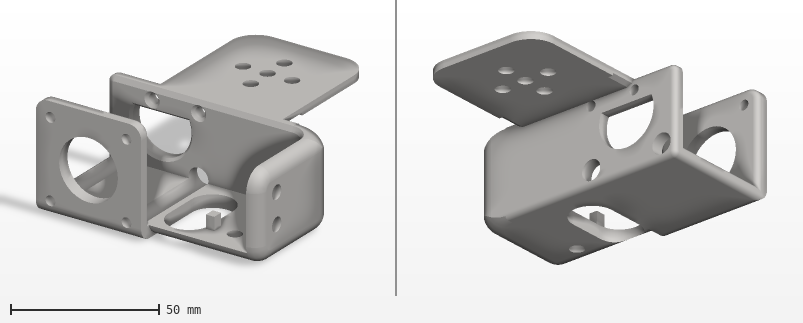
import cadquery as cq
import math

width = 88.0
wall = 5.0
motor_face = 43.0
tray_height = 35.0
tray_back = 48.0
tray_front = 4.1
side_wall = 5.99
corner_radius = 7.0
corner_dome_radius = 15.0
corner_dome_round = 6.9
side_corner_radius = 7.5
outer_round = 4.95
edge_round = 2.0
left_corner_radius = 2.5
foot_corner_radius = 2.0
rim_inset = 1.0
rim_drop = 2.0

motor_center = motor_face / 2
motor_bolt_pitch = 31.0
motor_bolt_diameter = 4.0
motor_bore = 24.0
plate_corner_radius = 4.95
bolt_clearance = 8.0

opening_top = 26.0
opening_bevel = 1.0
small_hole_spacing = 19.0
small_hole_left = 18.0
small_hole_height = 30.1
countersink_bevel = 1.1

tab_width = 50.0
tab_end = 99.0
tab_thickness = 3.02
tab_corner_radius = 10.0
tab_hole_pitch = 10.0
tab_hole_inset = 25.0
screw_hole = 5.5
tab_bevel_length = 10.0
tab_bevel_height = 1.0
tab_bevel_width = 2.0

slot_x = 51.7
slot_y = 22.9
slot_length = 31.0
slot_width = 16.9
screw_line_y = 14.9
floor_hole_x = 71.0
side_hole_heights = (13.0, 24.9)
stop_x = 62.3
stop_size = (3.4, 4.1)
stop_top = 10.3

inner_back = tray_back - wall
inner_right = width - side_wall


def box(x0, x1, y0, y1, z0, z1):
    return cq.Workplane("XY").box(x1 - x0, y1 - y0, z1 - z0, centered=False).translate((x0, y0, z0))


def rod_y(x, z, diameter, y0, y1):
    return cq.Workplane("XZ", origin=(x, y0, z)).circle(diameter / 2).extrude(y0 - y1)


def cone_y(x, z, diameter, y, bevel):
    """Cone narrowing toward +Y from a rim one bevel larger than the hole."""
    return (cq.Workplane("XZ", origin=(x, y, z)).circle(diameter / 2 + bevel)
            .workplane(offset=-bevel).circle(diameter / 2).loft())


def corner_trim():
    """Material outside a domed drum that softens both ends of the outer vertical corner."""
    center_x = inner_right - corner_radius
    center_y = inner_back - corner_radius
    drum = cq.Workplane("XY", origin=(center_x, center_y, 0)).circle(corner_dome_radius).extrude(tray_height)
    drum = drum.edges().fillet(corner_dome_round)
    return box(center_x, width, center_y, tray_back, 0, tray_height).cut(drum)


def tray():
    """Floor, back wall and side wall, with a bevelled inner rim and rounded outer edges."""
    block = box(0, width, tray_front, tray_back, 0, tray_height)
    front_rounded = block.edges("<Y and |X").fillet(side_corner_radius)
    left_rounded = block.edges("<X and >Z and |Y").fillet(left_corner_radius)
    left_rounded = left_rounded.edges("<X and <Z and |Y").fillet(foot_corner_radius)

    cavity = box(-width, inner_right, -width, inner_back, wall, 2 * tray_height)
    cavity = cavity.edges("|Z and >X and >Y").fillet(corner_radius)
    inner_rim = cq.selectors.NearestToPointSelector((inner_right / 2, inner_back, tray_height))
    body = front_rounded.intersect(left_rounded).cut(cavity)
    body = body.edges(inner_rim).chamfer(rim_drop, rim_inset)

    side_rounded = front_rounded.faces(">X").edges("not >Y").fillet(outer_round)
    back_rounded = left_rounded.edges("|Z and >X and >Y").fillet(corner_radius)
    back_rounded = back_rounded.faces(">Y").edges().fillet(edge_round)
    body = body.intersect(side_rounded).intersect(back_rounded).cut(corner_trim())
    floor_left_edge = cq.selectors.NearestToPointSelector((0, tray_back / 2, wall))
    return body.edges(floor_left_edge).fillet(edge_round)


def motor_plate():
    """Square upright plate with a rounded foot and a softened inner edge."""
    plate = box(0, motor_face, 0, wall, 0, motor_face)
    plate = plate.edges("|Y and >Z").fillet(plate_corner_radius)
    plate = plate.edges("|Y and <X and <Z").fillet(foot_corner_radius)
    plate = plate.faces(">Y").edges(">Z").fillet(edge_round)
    heel = box(-width, width, 0, tray_back, 0, width).edges("|X and <Y and <Z").fillet(outer_round)
    pad = box(0, motor_face, wall / 2, tray_front + side_corner_radius, 0, wall)
    pad = pad.edges("|Y and <X and <Z").fillet(foot_corner_radius)
    pad = pad.edges("|Y and <X and >Z").fillet(edge_round)
    return plate.union(pad).intersect(heel)


def mounting_tab():
    """Flat tab running back from the top of the back wall, relieved underneath beside the wall."""
    left = (width - tab_width) / 2
    bottom = tray_height - tab_thickness
    tab = box(left, left + tab_width, inner_back + rim_inset, tab_end, bottom, tray_height)
    tab = tab.edges("|Z and >Y").fillet(tab_corner_radius)
    hole_y = tab_end - tab_hole_inset
    centers = [(width / 2, hole_y)]
    for step in (-tab_hole_pitch, tab_hole_pitch):
        centers += [(width / 2 + step, hole_y), (width / 2, hole_y + step)]
    for x, y in centers:
        tab = tab.cut(cq.Workplane("XY", origin=(x, y, bottom)).circle(screw_hole / 2).extrude(tab_thickness))
    for edge, inward in ((left, 1), (left + tab_width, -1)):
        bevel = (cq.Workplane("XZ", origin=(edge, tray_back, bottom))
                 .polyline([(0, 0), (inward * tab_bevel_width, 0), (0, tab_bevel_height)]).close()
                 .extrude(-tab_bevel_length))
        tab = tab.cut(bevel)
    return tab


def motor_cutters():
    """Bore and bolt holes along Y through the motor plate, floor and back wall."""
    offset = motor_bolt_pitch / 2
    cutter = rod_y(motor_center, motor_center, motor_bore, 0, wall)
    for x in (motor_center - offset, motor_center + offset):
        for z in (motor_center - offset, motor_center + offset):
            cutter = cutter.union(rod_y(x, z, motor_bolt_diameter, 0, wall))
        cutter = cutter.union(rod_y(x, motor_center - offset, bolt_clearance, wall, tray_back))
    return cutter


def opening_profile(radius, top):
    """Circle about the motor axis with its upper part cut off flat at a height above the axis."""
    half_chord = math.sqrt(radius ** 2 - top ** 2)
    return (cq.Workplane("XZ", origin=(motor_center, inner_back, motor_center))
            .moveTo(-half_chord, top).threePointArc((0, -radius), (half_chord, top)).close())


def back_wall_cutters():
    """Flat-topped bevelled opening and two countersunk holes."""
    radius = motor_bore / 2
    top = opening_top - motor_center
    cutter = opening_profile(radius, top).extrude(-wall)
    rim = opening_profile(radius + opening_bevel, top + opening_bevel)
    cutter = cutter.union(rim.extrude(-opening_bevel, taper=45))
    for x in (small_hole_left, small_hole_left + small_hole_spacing):
        cutter = cutter.union(rod_y(x, small_hole_height, motor_bolt_diameter, inner_back, tray_back))
        cutter = cutter.union(cone_y(x, small_hole_height, motor_bolt_diameter, inner_back, countersink_bevel))
    return cutter


def screw_cutters():
    """Cable slot and screw hole through the floor, and two screw holes through the side wall."""
    cutter = cq.Workplane("XY", origin=(slot_x, slot_y, 0)).slot2D(slot_length, slot_width, 90).extrude(wall)
    floor_hole = cq.Workplane("XY", origin=(floor_hole_x, screw_line_y, 0)).circle(screw_hole / 2).extrude(wall)
    cutter = cutter.union(floor_hole)
    for z in side_hole_heights:
        side_hole = cq.Workplane("YZ", origin=(inner_right, screw_line_y, z)).circle(screw_hole / 2)
        cutter = cutter.union(side_hole.extrude(side_wall))
    return cutter


def stop_block():
    """Small rectangular stop standing on the floor between the slot and the screw hole."""
    length_x, length_y = stop_size
    return box(stop_x - length_x / 2, stop_x + length_x / 2,
               screw_line_y - length_y / 2, screw_line_y + length_y / 2, wall / 2, stop_top)


result = (
    tray()
    .union(motor_plate())
    .union(mounting_tab())
    .union(stop_block())
    .cut(motor_cutters())
    .cut(back_wall_cutters())
    .cut(screw_cutters())
)